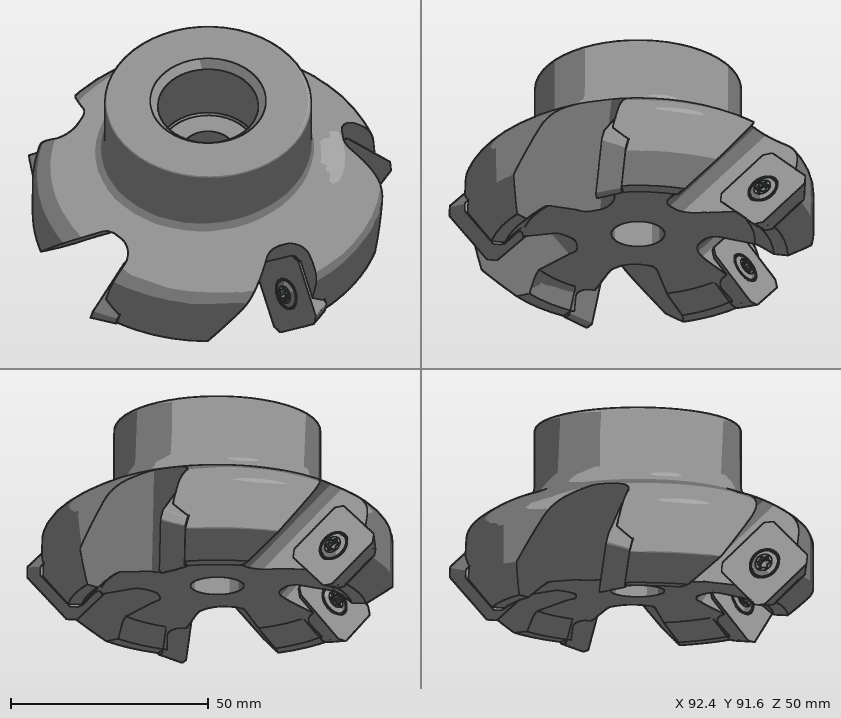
import cadquery as cq
import math

GAP = 0.1

HEIGHT = 50.0
HUB_R = 52.3 / 2
HUB_ROUND = 0.9
HUB_BASE_Z = 35.0
HUB_FILLET_R = 4.7
DOME_TOP_R = 28.7
DOME_TOP_Z = 30.7
DOME_POINTS = [(34.7, 28.5), (39.8, 25.7), (43.2, 22.75)]
DOME_TOP_SLOPE = -0.42
RIM_R = 44.5
RIM_TOP_Z = 18.9
RIM_BASE_Z = 8.4
RIM_ROUND = 0.7
BASE_Z = 1.85

ARBOR_R = 25.4 / 2
ARBOR_STEP_R = 12.2
ARBOR_FLOOR_Z = 31.4
ARBOR_CHAMFER = 1.9
BOLT_R = 13.5 / 2

RECESS_MOUTH_R = 34.4
RECESS_WALL_Z = 4.6
RECESS_SHOULDER_R = 29.6
RECESS_SHOULDER_Z = 6.1
RECESS_FLAT_R = 20.3
RECESS_CEILING_Z = 7.95

TEETH = 5
TOOTH_ANGLE = 185.8
SEAT_RADIAL = 36.5
SEAT_LAG = -0.9
AXIAL_RAKE = 14.5
RADIAL_RAKE = 4.6

INSERT_HALF_DIAGONAL = 11.65
CORNER_FLAT = 2.6
BACK_CORNER_FLAT = 2.0
CORNER_ROUND = 0.7
INSERT_THICKNESS = 5.9
CORNER_RELIEF_ANGLE = 25.0

SCREW_POCKET_D = 8.1
SCREW_HEAD_D = 7.2
SCREW_CROWN_D = 4.5
SCREW_POCKET_DEPTH = 0.6
SCREW_CROWN_RISE = 0.6
SOCKET_CORE_R = 1.4
SOCKET_LOBE_R = 0.42
SOCKET_LOBES = 6
SOCKET_DEPTH = 1.5

GULLET_WALL_DEPTH = 1.0
GULLET_FLOOR = -12.7
GULLET_WALL_FILLET = 4.8
GULLET_FLANK_FILLET = 4.9
GULLET_FLANK_START = 9.3
GULLET_FLANK_ANGLE = 40.0
GULLET_REACH = 55.5
GULLET_INNER_LENGTH = 27.7
GULLET_OUTER_LENGTH = 46.2


def body_blank():
    """Hub, dome, rim and lower cone revolved about Z."""
    fillet_angle = math.acos(1 - (DOME_TOP_R - HUB_R) / HUB_FILLET_R)
    fillet_mid = (
        HUB_R + HUB_FILLET_R * (1 - math.cos(fillet_angle / 2)),
        HUB_BASE_Z - HUB_FILLET_R * math.sin(fillet_angle / 2),
    )
    cone_r = RIM_R - (RIM_BASE_Z - BASE_Z)
    profile = (
        cq.Workplane("XZ")
        .moveTo(0, BASE_Z)
        .lineTo(cone_r, BASE_Z)
        .lineTo(RIM_R, RIM_BASE_Z)
        .lineTo(RIM_R, RIM_TOP_Z)
        .spline(
            [*reversed(DOME_POINTS), (DOME_TOP_R, DOME_TOP_Z)],
            tangents=[(0, 1), (-1, -DOME_TOP_SLOPE)],
            includeCurrent=True,
        )
        .threePointArc(fillet_mid, (HUB_R, HUB_BASE_Z))
        .lineTo(HUB_R, HEIGHT)
        .lineTo(0, HEIGHT)
        .close()
    )
    blank = profile.revolve(360, (0, 0, 0), (0, 1, 0))
    blank = blank.faces(">Z").edges().fillet(HUB_ROUND)
    rim_edge = cq.selectors.BoxSelector(
        (-RIM_R - GAP, -RIM_R - GAP, RIM_BASE_Z - GAP),
        (RIM_R + GAP, RIM_R + GAP, RIM_BASE_Z + GAP),
        boundingbox=True,
    )
    return blank.edges(rim_edge).fillet(RIM_ROUND)


def axial_bore():
    """Chamfered arbor bore with a small step at its floor, and the bolt hole."""
    step = ARBOR_R - ARBOR_STEP_R
    return (
        cq.Workplane("XZ")
        .lineTo(BOLT_R, 0)
        .lineTo(BOLT_R, ARBOR_FLOOR_Z)
        .lineTo(ARBOR_STEP_R, ARBOR_FLOOR_Z)
        .lineTo(ARBOR_R, ARBOR_FLOOR_Z + step)
        .lineTo(ARBOR_R, HEIGHT - ARBOR_CHAMFER)
        .lineTo(ARBOR_R + ARBOR_CHAMFER, HEIGHT)
        .lineTo(0, HEIGHT)
        .close()
        .revolve(360, (0, 0, 0), (0, 1, 0))
    )


def under_recess():
    """Recess in the underside: 45-degree wall, rounded shoulder and slightly coned ceiling."""
    rise = RECESS_WALL_Z - BASE_Z
    return (
        cq.Workplane("XZ")
        .moveTo(0, BASE_Z)
        .lineTo(RECESS_MOUTH_R, BASE_Z)
        .lineTo(RECESS_MOUTH_R - rise, RECESS_WALL_Z)
        .tangentArcPoint((RECESS_SHOULDER_R, RECESS_SHOULDER_Z), relative=False)
        .lineTo(RECESS_FLAT_R, RECESS_CEILING_Z)
        .lineTo(0, RECESS_CEILING_Z)
        .close()
        .revolve(360, (0, 0, 0), (0, 1, 0))
    )


def cutting_plane():
    """Plane of the insert face: local X points outward, local Y up, the normal forward."""
    axial = math.radians(AXIAL_RAKE)
    radial = math.radians(RADIAL_RAKE)
    outward = cq.Vector(math.cos(radial), math.sin(radial), 0)
    up = cq.Vector(0, math.sin(axial), math.cos(axial))
    centre = (SEAT_RADIAL, SEAT_LAG, INSERT_HALF_DIAGONAL * math.cos(axial))
    return cq.Plane(origin=centre, xDir=outward.toTuple(), normal=outward.cross(up).toTuple())


def insert_outline(plane_z, reach, corner_flat):
    """Square standing on its corner with the corners cut flat at the given reach."""
    half_flat = corner_flat / 2
    corners = []
    for turn in range(4):
        angle = turn * math.pi / 2
        for side in (-half_flat, half_flat):
            corners.append(
                cq.Vector(
                    reach * math.cos(angle) - side * math.sin(angle),
                    reach * math.sin(angle) + side * math.cos(angle),
                    plane_z,
                )
            )
    return cq.Wire.makePolygon(corners, close=True)


def insert_blank():
    """Square insert tapering from its cutting face to its back, with rounded corner edges."""
    back_reach = INSERT_HALF_DIAGONAL - INSERT_THICKNESS * math.tan(math.radians(CORNER_RELIEF_ANGLE))
    front = insert_outline(0, INSERT_HALF_DIAGONAL, CORNER_FLAT)
    back = insert_outline(-INSERT_THICKNESS, back_reach, BACK_CORNER_FLAT)
    blank = cq.Workplane(cq.Solid.makeLoft([front, back], True))
    corner_edges = blank.edges().filter(lambda edge: -INSERT_THICKNESS + GAP < edge.Center().z < -GAP)
    return corner_edges.fillet(CORNER_ROUND)


def screw_face(insert):
    """Add the sunken ring, the domed screw head and its six-lobed socket."""
    pocket_r = SCREW_POCKET_D / 2
    head_r = SCREW_HEAD_D / 2
    crown_r = SCREW_CROWN_D / 2
    ring = (
        cq.Workplane("XY")
        .workplane(offset=-SCREW_POCKET_DEPTH)
        .circle(pocket_r)
        .extrude(SCREW_POCKET_DEPTH)
    )
    head = (
        cq.Workplane("XZ")
        .moveTo(0, -SCREW_POCKET_DEPTH)
        .lineTo(head_r, -SCREW_POCKET_DEPTH)
        .lineTo(head_r, 0)
        .lineTo(crown_r, SCREW_CROWN_RISE)
        .lineTo(0, SCREW_CROWN_RISE)
        .close()
        .revolve(360, (0, 0, 0), (0, 1, 0))
    )
    return insert.cut(ring).union(head).cut(socket())


def socket():
    """Six-lobed blind socket with a conical floor."""
    floor_z = SCREW_CROWN_RISE - SOCKET_DEPTH
    core = cq.Workplane("XY").workplane(offset=floor_z).circle(SOCKET_CORE_R).extrude(SOCKET_DEPTH)
    lobes = (
        cq.Workplane("XY")
        .workplane(offset=floor_z)
        .polarArray(SOCKET_CORE_R, 0, 360, SOCKET_LOBES)
        .circle(SOCKET_LOBE_R)
        .extrude(SOCKET_DEPTH)
    )
    cone = cq.Workplane("XY").add(
        cq.Solid.makeCone(SOCKET_CORE_R, 0, SOCKET_CORE_R / 2, (0, 0, floor_z), (0, 0, -1))
    )
    return core.union(lobes).union(cone)


def gullet_cutter():
    """Groove with a wall along the insert face, a rounded floor and a slanted far flank."""
    angle = math.radians(GULLET_FLANK_ANGLE)
    turn = math.pi / 2 - angle
    wall = -GULLET_WALL_DEPTH
    root = GULLET_FLOOR + GULLET_WALL_FILLET
    root_centre = wall + GULLET_WALL_FILLET
    root_mid = GULLET_WALL_FILLET * math.sqrt(0.5)
    turn_start = GULLET_FLANK_START - GULLET_FLANK_FILLET * math.sin(turn)
    flank_start = (
        GULLET_FLOOR + GULLET_FLANK_FILLET * (1 - math.cos(turn)),
        GULLET_FLANK_START,
    )
    turn_mid = (
        GULLET_FLOOR + GULLET_FLANK_FILLET * (1 - math.cos(turn / 2)),
        turn_start + GULLET_FLANK_FILLET * math.sin(turn / 2),
    )
    flank_run = GULLET_REACH - flank_start[0]
    section_plane = cq.Plane(origin=(0, 0, 0), xDir=(1, -1, 0), normal=(-1, -1, 0))
    return (
        cq.Workplane(section_plane)
        .workplane(offset=-GULLET_OUTER_LENGTH)
        .moveTo(GULLET_REACH, wall)
        .lineTo(root, wall)
        .threePointArc((root - root_mid, root_centre - root_mid), (GULLET_FLOOR, root_centre))
        .lineTo(GULLET_FLOOR, turn_start)
        .threePointArc(turn_mid, flank_start)
        .lineTo(GULLET_REACH, GULLET_FLANK_START + flank_run * math.tan(angle))
        .close()
        .extrude(GULLET_OUTER_LENGTH + GULLET_INNER_LENGTH)
    )


def place(shape, tooth):
    """Move a shape built on the insert face to the given tooth."""
    spin = TOOTH_ANGLE + tooth * 360 / TEETH
    seated = shape.val().moved(cq.Location(cutting_plane()))
    return seated.rotate(cq.Vector(0, 0, 0), cq.Vector(0, 0, 1), spin)


blank = insert_blank()
insert = screw_face(blank)
inserts = [place(insert, tooth) for tooth in range(TEETH)]

gullet = gullet_cutter()
body = body_blank().cut(axial_bore()).cut(under_recess())
for tooth in range(TEETH):
    body = body.cut(cq.Workplane(place(gullet, tooth)))
    body = body.cut(cq.Workplane(place(blank, tooth)))

result = cq.Compound.makeCompound([body.val(), *inserts])